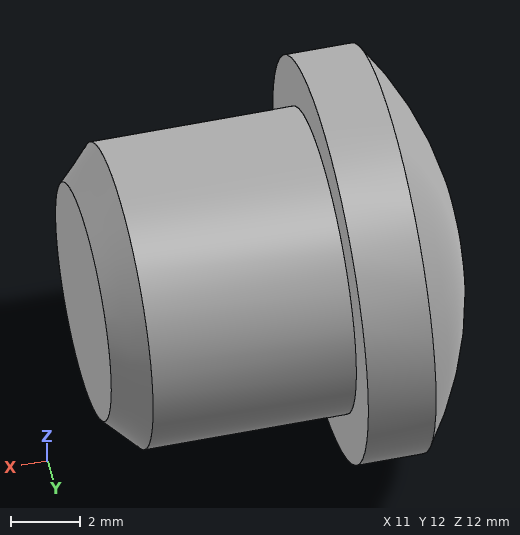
import cadquery as cq

head_diameter = 12.0
shank_diameter = 0.75 * head_diameter
dome_height = head_diameter / 6
flange_thickness = dome_height
shank_length = 3.5 * flange_thickness
tip_chamfer = flange_thickness / 2

head_radius = head_diameter / 2
shank_radius = shank_diameter / 2

dome_radius = (head_radius**2 + dome_height**2) / (2 * dome_height)

flange_back = flange_thickness
shank_end = flange_back + shank_length

arc_mid_radius = head_radius / 2
dome_center = dome_radius - dome_height
arc_mid_x = dome_center - (dome_radius**2 - arc_mid_radius**2) ** 0.5

half_section = (
    cq.Workplane("XY")
    .moveTo(-dome_height, 0)
    .threePointArc((arc_mid_x, arc_mid_radius), (0, head_radius))
    .lineTo(flange_back, head_radius)
    .lineTo(flange_back, shank_radius)
    .lineTo(shank_end - tip_chamfer, shank_radius)
    .lineTo(shank_end, shank_radius - tip_chamfer)
    .lineTo(shank_end, 0)
    .close()
)

result = half_section.revolve(360, (0, 0, 0), (1, 0, 0))